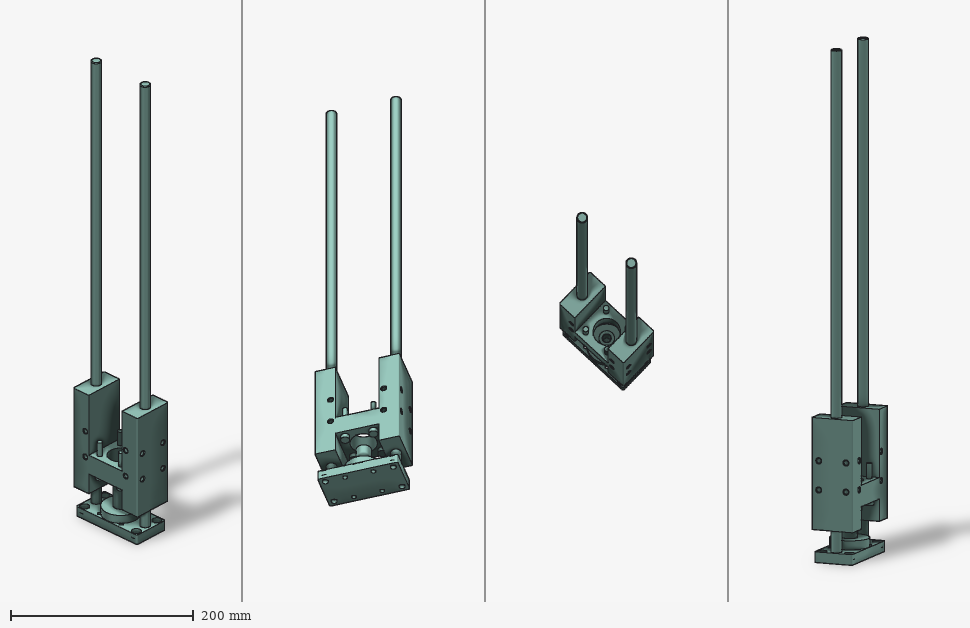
import math

import cadquery as cq


total_height = 572
rod_diameter = 12
rod_spacing = 74
rod_end_chamfer = 1

housing_width = 97
housing_depth = 49
housing_height = 125
housing_bottom = 37
housing_top = housing_bottom + housing_height
housing_corner_radius = 1.5

channel_width = 50
lower_channel_height = 25
bridge_height = 24
bridge_bottom = housing_bottom + lower_channel_height
bridge_top = bridge_bottom + bridge_height
bridge_bore_diameter = 30

screw_pitch = 32.5

mounting_hole_mouth_diameter = 7
mounting_hole_diameter = 5.15
mounting_hole_depth = 12
mounting_hole_spacing_x = 61
lower_mounting_z = housing_bottom + 44.75
mounting_z_levels = (lower_mounting_z, lower_mounting_z + screw_pitch)
drill_tip_angle = 118

screw_diameter = 6
screw_head_diameter = 10
screw_head_height = 5.5
screw_end_length = 17

plate_width = 92
plate_depth = 45
plate_thickness = 12
plate_corner_radius = 2
plate_hole_spacing_x = 78
plate_hole_spacing_y = 32.5
plate_hole_diameter = 6.6
plate_counterbore_diameter = 11
plate_counterbore_depth = 6.5
plate_tapped_hole_diameter = 5.15

flange_diameter = 44
flange_height = 10
spigot_diameter = 17
spigot_top = 51.5
spigot_hole_mouth_diameter = 10
spigot_hole_diameter = 8.75
spigot_hole_depth = 20


def corner_points(spacing_x, spacing_y):
    """Four points of a rectangle centred on the Z axis."""
    return [(sx * spacing_x / 2, sy * spacing_y / 2) for sx in (-1, 1) for sy in (-1, 1)]


axis_point = [(0, 0)]
rod_points = [(-rod_spacing / 2, 0), (rod_spacing / 2, 0)]
screw_points = corner_points(screw_pitch, screw_pitch)


def upright_cylinders(diameter, bottom, top, points):
    """Upright cylinders between two heights at the given XY points."""
    plane = cq.Workplane("XY", origin=(0, 0, bottom))
    return plane.pushPoints(points).circle(diameter / 2).extrude(top - bottom)


def upright_block(width, depth, bottom, top):
    """Block between two heights, centred on the Z axis."""
    return cq.Workplane("XY", origin=(0, 0, bottom)).rect(width, depth).extrude(top - bottom)


def blind_hole(mouth_diameter, core_diameter, depth, start, inward):
    """Cutter for a blind hole with a 45 degree countersunk mouth and a conical drill tip."""
    core_radius = core_diameter / 2
    mouth_radius = mouth_diameter / 2
    tip_length = core_radius / math.tan(math.radians(drill_tip_angle / 2))
    core = cq.Solid.makeCylinder(core_radius, depth, start, inward)
    tip = cq.Solid.makeCone(core_radius, 0, tip_length, start + inward * depth, inward)
    mouth = cq.Solid.makeCone(mouth_radius, 0, mouth_radius, start, inward)
    return cq.Workplane(core).union(cq.Workplane(tip)).union(cq.Workplane(mouth))


def mounting_hole(start, inward):
    return blind_hole(
        mounting_hole_mouth_diameter, mounting_hole_diameter, mounting_hole_depth, start, inward
    )


def cut_mounting_holes(body):
    """Four blind holes in each broad face and four in each narrow face."""
    for side in (-1, 1):
        for end in (-1, 1):
            for z in mounting_z_levels:
                broad_start = cq.Vector(end * mounting_hole_spacing_x / 2, side * housing_depth / 2, z)
                body = body.cut(mounting_hole(broad_start, cq.Vector(0, -side, 0)))
                narrow_start = cq.Vector(side * housing_width / 2, end * screw_pitch / 2, z)
                body = body.cut(mounting_hole(narrow_start, cq.Vector(-side, 0, 0)))
    return body


def make_housing():
    body = upright_block(housing_width, housing_depth, housing_bottom, housing_top)
    body = body.edges("|Z").fillet(housing_corner_radius)

    body = body.cut(upright_block(channel_width, housing_depth, housing_bottom, bridge_bottom))
    body = body.cut(upright_block(channel_width, housing_depth, bridge_top, housing_top))

    body = body.cut(upright_cylinders(rod_diameter, housing_bottom, housing_top, rod_points))
    body = body.cut(upright_cylinders(bridge_bore_diameter, bridge_bottom, bridge_top, axis_point))

    body = cut_mounting_holes(body)

    head_bottom = bridge_bottom - screw_head_height
    screw_top = bridge_top + screw_end_length
    body = body.union(upright_cylinders(screw_head_diameter, head_bottom, bridge_bottom, screw_points))
    return body.union(upright_cylinders(screw_diameter, bridge_top, screw_top, screw_points))


def make_plate():
    plate = upright_block(plate_width, plate_depth, 0, plate_thickness)
    plate = plate.edges("|Z").fillet(plate_corner_radius)
    plate = (
        plate.faces(">Z")
        .workplane()
        .pushPoints(corner_points(plate_hole_spacing_x, plate_hole_spacing_y))
        .cboreHole(plate_hole_diameter, plate_counterbore_diameter, plate_counterbore_depth)
    )
    return plate.cut(upright_cylinders(plate_tapped_hole_diameter, 0, plate_thickness, screw_points))


def make_rods():
    rods = upright_cylinders(rod_diameter, plate_thickness, total_height, rod_points)
    return rods.faces(">Z").edges().chamfer(rod_end_chamfer)


def make_coupling():
    flange_top = plate_thickness + flange_height
    flange = upright_cylinders(flange_diameter, plate_thickness, flange_top, axis_point)
    spigot = upright_cylinders(spigot_diameter, flange_top, spigot_top, axis_point)
    hole = blind_hole(
        spigot_hole_mouth_diameter,
        spigot_hole_diameter,
        spigot_hole_depth,
        cq.Vector(0, 0, spigot_top),
        cq.Vector(0, 0, -1),
    )
    return flange.union(spigot).cut(hole)


def make_slide():
    """End plate, rods and coupling as one body."""
    return make_plate().union(make_rods()).union(make_coupling())


housing = make_housing()
slide = make_slide()
result = cq.Compound.makeCompound([housing.solids().val(), slide.solids().val()])